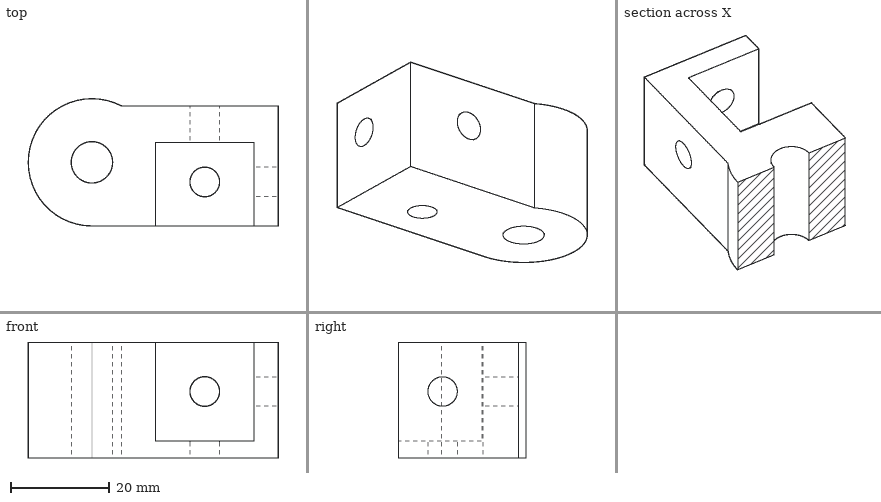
import cadquery as cq

height = 23.6
barrel_diameter = 26.0
barrel_radius = barrel_diameter / 2
pin_hole_diameter = 8.4

body_end_x = 38.0
body_front_y = -barrel_radius
body_back_y = 11.5

pocket_length = 20.0
pocket_back_y = 4.0
end_wall = 5.0
floor_thickness = 3.5
pocket_end_x = body_end_x - end_wall
pocket_start_x = pocket_end_x - pocket_length

screw_hole_diameter = 6.0
screw_x = (pocket_start_x + pocket_end_x) / 2
screw_y = -4.0
screw_depth_below_top = 10.0
screw_z = height - screw_depth_below_top


def box_between(low, high):
    """Axis-aligned box spanning two opposite corners."""
    size = [b - a for a, b in zip(low, high)]
    return cq.Workplane("XY").box(*size, centered=False).translate(low)


def screw_hole(start, direction, length):
    """Cylinder that cuts one screw hole along the given direction."""
    return cq.Workplane(
        cq.Solid.makeCylinder(
            screw_hole_diameter / 2, length, cq.Vector(*start), cq.Vector(*direction)
        )
    )


def make_blank():
    barrel = cq.Workplane("XY").circle(barrel_radius).extrude(height)
    body = box_between((0, body_front_y, 0), (body_end_x, body_back_y, height))
    return barrel.union(body)


def make_pin_hole():
    return cq.Workplane("XY").circle(pin_hole_diameter / 2).extrude(height)


def make_pocket():
    return box_between(
        (pocket_start_x, body_front_y, floor_thickness),
        (pocket_end_x, pocket_back_y, height),
    )


screw_holes = [
    screw_hole((screw_x, screw_y, floor_thickness), (0, 0, -1), floor_thickness),
    screw_hole((screw_x, pocket_back_y, screw_z), (0, 1, 0), body_back_y - pocket_back_y),
    screw_hole((pocket_end_x, screw_y, screw_z), (1, 0, 0), end_wall),
]

result = make_blank().cut(make_pin_hole()).cut(make_pocket())
for hole in screw_holes:
    result = result.cut(hole)